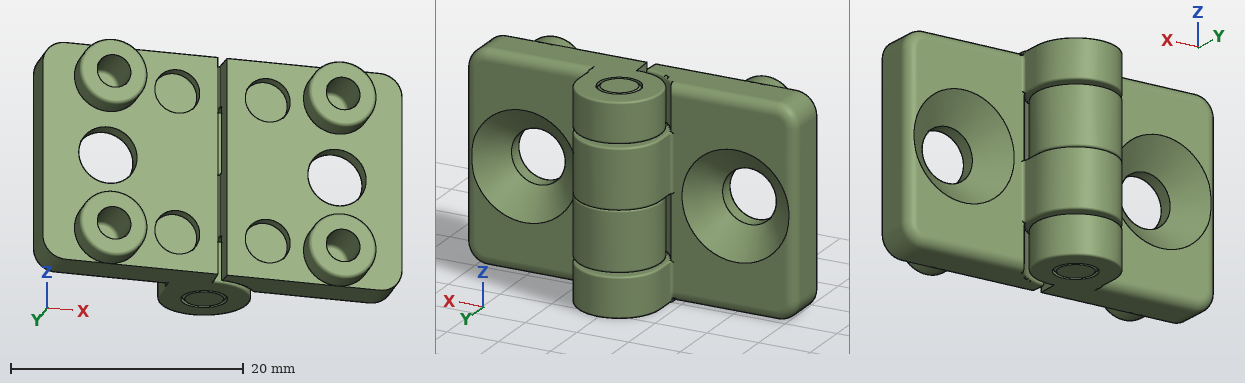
import cadquery as cq
import math

plate_reach = 16.0
height = 20.0
half_height = height / 2
plate_thickness = 4.0
corner_radius = 2.0
back_round = 1.0
slot_half_front = 0.4
slot_half_knuckle = 0.32

knuckle_radius = 4.0
hinge_y = 1.5 * plate_thickness
knuckle_bottom = hinge_y - knuckle_radius
knuckle_round = 0.2
root_fillet = 0.25
root_x = knuckle_radius + root_fillet
root_top = plate_thickness + root_fillet
end_knuckle_start = 6.15
middle_knuckle_length = 5.75
pin_radius = knuckle_radius / 2
pin_chamfer = 0.32

recess_radius = 4.45
recess_mouth_round = 0.25
recess_floor_round = 0.1

screw_x = 10.2
screw_radius = 2.6
countersink_radius = 5.2
countersink_angle = 90
boss_z = 7.0
boss_height = plate_thickness / 2
boss_radius = half_height - boss_z
boss_round = 0.3
boss_hole_radius = boss_radius / 2
boss_hole_depth = 4.0
boss_hole_floor_round = 0.3
pocket_x = 4.03
pocket_z = 6.5
pocket_radius = 2.0
pocket_depth = 1.0


def upright_cylinder(radius, bottom, top):
    """Cylinder around the hinge line."""
    return cq.Workplane("XY", origin=(0, hinge_y, bottom)).circle(radius).extrude(top - bottom)


def front_cylinder(radius, x, z, y_start, length):
    """Cylinder along +Y that starts at y_start."""
    plane = cq.Plane(origin=(x, y_start, z), xDir=(1, 0, 0), normal=(0, 1, 0))
    return cq.Workplane(plane).circle(radius).extrude(length)


def make_plate():
    slot_slope = (slot_half_front - slot_half_knuckle) / knuckle_bottom
    slot_half_back = slot_half_front - slot_slope * plate_thickness
    outline = [
        (slot_half_front, 0),
        (plate_reach, 0),
        (plate_reach, plate_thickness),
        (slot_half_back, plate_thickness),
    ]
    plate = cq.Workplane("XY", origin=(0, 0, -half_height)).polyline(outline).close().extrude(height)
    plate = plate.edges("|Y and >X").fillet(corner_radius)
    return plate.faces(">Y").edges("not <X").fillet(back_round)


def make_middle_recess():
    recess = upright_cylinder(recess_radius, 0, end_knuckle_start)
    return recess.edges().fillet(recess_floor_round)


def make_end_recess():
    """Recess open at the lower end of the plate, where its mouth is rounded."""
    bottom = -half_height
    recess = upright_cylinder(recess_radius, bottom, -middle_knuckle_length)
    recess = recess.faces(">Z").edges().fillet(recess_floor_round)
    mouth_radius = recess_radius + recess_mouth_round
    mouth_top = bottom + recess_mouth_round
    bow = recess_mouth_round * (1 - math.sqrt(0.5))
    mouth = (
        cq.Workplane("XZ", origin=(0, hinge_y, 0))
        .moveTo(0, bottom)
        .lineTo(mouth_radius, bottom)
        .threePointArc((recess_radius + bow, bottom + bow), (recess_radius, mouth_top))
        .lineTo(0, mouth_top)
        .close()
        .revolve(360, (0, 0), (0, 1))
    )
    return recess.union(mouth)


def make_knuckle(bottom, top):
    """Barrel with one flat flank that runs down into the plate through a root fillet."""
    low_x = knuckle_radius * math.sqrt(0.5)
    bow = root_fillet * (1 - math.sqrt(0.5))
    knuckle = (
        cq.Workplane("XY", origin=(0, 0, bottom))
        .moveTo(0, knuckle_bottom)
        .lineTo(root_x, knuckle_bottom)
        .lineTo(root_x, plate_thickness)
        .threePointArc((knuckle_radius + bow, plate_thickness + bow), (knuckle_radius, root_top))
        .lineTo(knuckle_radius, hinge_y)
        .threePointArc((0, hinge_y + knuckle_radius), (-knuckle_radius, hinge_y))
        .threePointArc((-low_x, hinge_y - low_x), (0, knuckle_bottom))
        .close()
        .extrude(top - bottom)
    )
    return knuckle.faces("<Z or >Z").edges().fillet(knuckle_round)


def make_end_knuckle():
    """Knuckle at the top of the plate, whose root fillet follows the rounded rim of the back face."""
    bend_y = plate_thickness - back_round
    bend_z = half_height - back_round
    bow = root_fillet * (1 - math.sqrt(0.5))
    straight_root = (
        cq.Workplane("XY", origin=(knuckle_radius, 0, bend_z))
        .rect(root_fillet, root_top, centered=False)
        .extrude(back_round)
    )
    bend_angle = math.degrees(math.asin((back_round - knuckle_round) / (back_round + root_fillet)))
    bent_root = (
        cq.Workplane("XY", origin=(0, bend_y, bend_z))
        .moveTo(knuckle_radius, 0)
        .lineTo(root_x, 0)
        .lineTo(root_x, back_round)
        .threePointArc((knuckle_radius + bow, back_round + bow), (knuckle_radius, back_round + root_fillet))
        .close()
        .revolve(bend_angle, (0, 0), (1, 0))
    )
    return make_knuckle(end_knuckle_start, half_height).cut(straight_root).union(bent_root)


def make_boss(z):
    boss = front_cylinder(boss_radius, screw_x, z, -boss_height, boss_height)
    return boss.faces("<Y").edges().fillet(boss_round)


def make_boss_hole(z):
    hole = front_cylinder(boss_hole_radius, screw_x, z, -boss_height, boss_hole_depth)
    return hole.faces(">Y").edges().fillet(boss_hole_floor_round)


def make_screw_hole():
    """Through hole with a countersink that opens on the back face."""
    hole = front_cylinder(screw_radius, screw_x, 0, 0, plate_thickness)
    sink_depth = (countersink_radius - screw_radius) / math.tan(math.radians(countersink_angle / 2))
    sink = (
        cq.Workplane("XY", origin=(screw_x, 0, 0))
        .moveTo(0, plate_thickness)
        .lineTo(countersink_radius, plate_thickness)
        .lineTo(screw_radius, plate_thickness - sink_depth)
        .lineTo(0, plate_thickness - sink_depth)
        .close()
        .revolve(360, (0, 0), (0, 1))
    )
    return hole.union(sink)


def make_leaf():
    """Leaf on the +X side, with its end knuckle at the top."""
    leaf = make_plate().cut(make_middle_recess()).cut(make_end_recess())
    leaf = leaf.union(make_end_knuckle())
    leaf = leaf.union(make_knuckle(-middle_knuckle_length, 0))
    leaf = leaf.cut(upright_cylinder(pin_radius, -half_height, half_height)).cut(make_screw_hole())
    for side in (-1, 1):
        leaf = leaf.union(make_boss(side * boss_z)).cut(make_boss_hole(side * boss_z))
        leaf = leaf.cut(front_cylinder(pocket_radius, pocket_x, side * pocket_z, 0, pocket_depth))
    return leaf


def make_pin():
    pin = upright_cylinder(pin_radius, -half_height, half_height)
    return pin.edges("%CIRCLE").chamfer(pin_chamfer)


leaf_turns = (0, 180)
leaves = [make_leaf().rotate((0, 0, 0), (0, 1, 0), turn).val() for turn in leaf_turns]
pin = make_pin()

result = cq.Compound.makeCompound([*leaves, pin.val()])